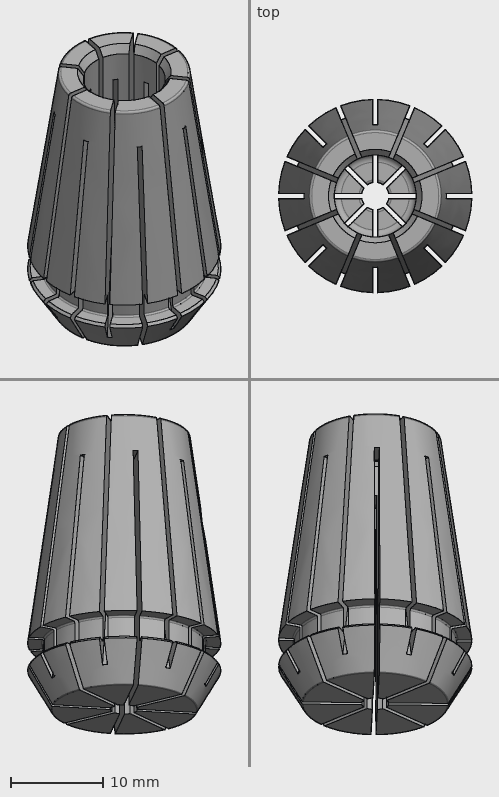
import cadquery as cq
import math

length = 31.5
max_radius = 10.5

taper_start = 7.62
taper_half_angle = 8.0
rear_edge_fillet = 0.28

groove_start = 4.75
groove_radius = 8.8
groove_corner_fillet = 0.2
flange_chamfer = 0.28
nose_half_angle = 30.0
nose_edge_fillet = 0.13

relief_radius = 4.45
relief_floor = 12.6
relief_floor_fillet = 0.75
relief_mouth_radius = 5.07
relief_mouth_depth = 0.95
hole_radius = 1.48
hole_edge_fillet = 0.28

slots_per_end = 8
slot_pitch = 360.0 / slots_per_end
slot_width = 0.55
nose_slot_top = 27.1
rear_slot_bottom = 2.0
rear_slot_exit_radius = 9.05
rear_slot_floor_rise = 4.3

floor_overlap = 0.3
end_overshoot = 1.58
slot_reach = max_radius + end_overshoot


def revolve_profile(points):
    """Revolve a closed (radius, height) outline about the Z axis."""
    return cq.Workplane("XZ").polyline(points).close().revolve(360, (0, 0, 0), (0, 1, 0))


def corners_near(reach, height):
    """Selector for circular edges near a height that lie within the given radius."""
    slack = 0.03
    outer = reach + slack
    lower = (-outer, -outer, height - slack)
    upper = (outer, outer, height + slack)
    return cq.selectors.BoxSelector(lower, upper, boundingbox=True)


def outer_body():
    """Solid collet outline: nose cone, extraction groove and clamping taper."""
    rear_radius = max_radius - (length - taper_start) * math.tan(math.radians(taper_half_angle))
    flange_widest = groove_start - flange_chamfer
    nose_radius = max_radius - flange_widest * math.tan(math.radians(nose_half_angle))
    body = revolve_profile([
        (0, 0),
        (nose_radius, 0),
        (max_radius, flange_widest),
        (max_radius - flange_chamfer, groove_start),
        (groove_radius, groove_start),
        (groove_radius, taper_start),
        (max_radius, taper_start),
        (rear_radius, length),
        (0, length),
    ])
    body = body.faces(">Z").edges().fillet(rear_edge_fillet)
    body = body.faces("<Z").edges().fillet(nose_edge_fillet)
    for height in (groove_start, taper_start):
        body = body.edges(corners_near(groove_radius, height)).fillet(groove_corner_fillet)
    return body


def bore():
    """Volume removed along the axis."""
    relief_start = cq.Workplane("XY", origin=(0, 0, relief_floor))
    relief = relief_start.circle(relief_radius).extrude(length - relief_floor)
    relief = relief.faces("<Z").edges().fillet(relief_floor_fillet)
    mouth = revolve_profile([
        (0, length - relief_mouth_depth),
        (relief_radius, length - relief_mouth_depth),
        (relief_mouth_radius, length),
        (0, length),
    ])
    hole = cq.Workplane("XY").circle(hole_radius).extrude(relief_floor)
    flare = (
        cq.Workplane("XZ")
        .moveTo(0, relief_floor - hole_edge_fillet)
        .lineTo(hole_radius, relief_floor - hole_edge_fillet)
        .radiusArc((hole_radius + hole_edge_fillet, relief_floor), hole_edge_fillet)
        .lineTo(0, relief_floor)
        .close()
        .revolve(360, (0, 0, 0), (0, 1, 0))
    )
    return relief.union(mouth).union(hole).union(flare)


def radial_slot(outline):
    """Slot blade from a (radius, height) outline, straddling the XZ plane on the +X side."""
    return cq.Workplane("XZ").polyline(outline).close().extrude(slot_width / 2, both=True)


def nose_slot():
    """Slot from the nose through the full radius, ending square below the rear face."""
    return radial_slot([
        (0, -end_overshoot),
        (slot_reach, -end_overshoot),
        (slot_reach, nose_slot_top),
        (0, nose_slot_top),
    ])


def rear_slot():
    """Slot from the rear whose floor slopes steeply from the bore down to the nose cone."""
    top = length + end_overshoot
    inner_radius = relief_radius - floor_overlap
    floor_at_bore = rear_slot_bottom + (rear_slot_exit_radius - inner_radius) * rear_slot_floor_rise
    return radial_slot([
        (rear_slot_exit_radius, rear_slot_bottom),
        (slot_reach, rear_slot_bottom),
        (slot_reach, top),
        (0, top),
        (0, floor_at_bore),
        (inner_radius, floor_at_bore),
    ])


result = outer_body().cut(bore())
for index in range(slots_per_end):
    angle = index * slot_pitch
    result = result.cut(nose_slot().rotate((0, 0, 0), (0, 0, 1), angle))
    result = result.cut(rear_slot().rotate((0, 0, 0), (0, 0, 1), angle + slot_pitch / 2))